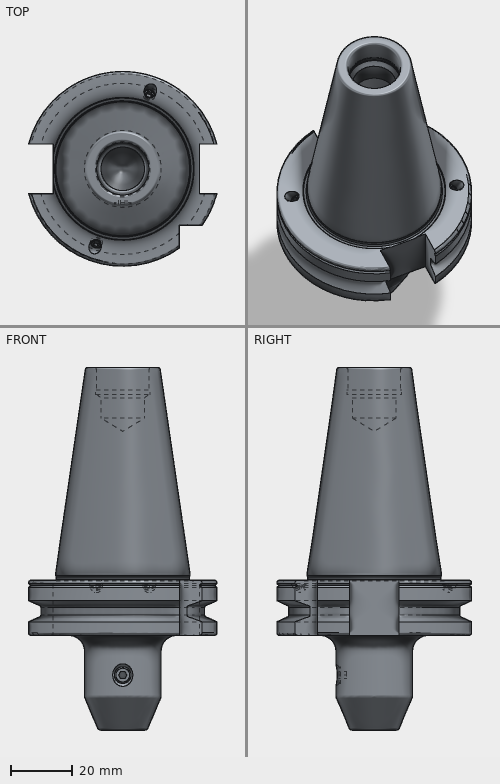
import cadquery as cq
import math

TOTAL_LENGTH = 118.4

TAPER_RATIO = 7 / 24
GAUGE_RADIUS = 22.1
GAUGE_Z = 50.0
TAPER_END_Z = 51.3
SHANK_TOP_FILLET = 1.0

COLLAR_END_Z = 50.4
UNDERCUT_TOP_Z = 50.1
UNDERCUT_RADIUS = 21.8
UNDERCUT_FOOT_CHAMFER = 0.5
RELIEF_MOUTH_RADIUS = 23.3
RELIEF_WALL_RUN = 0.2
RELIEF_DEPTH = 0.4

FLANGE_DIAMETER = 63.6
FLANGE_RADIUS = FLANGE_DIAMETER / 2
FLANGE_TOP_Z = 49.0
FLANGE_BOTTOM_Z = 30.9
FLANGE_FILLET = 1.0
RIM_GROOVE_TOP_DROP = 1.2
RIM_GROOVE_WIDTH = 1.2
RIM_GROOVE_DEPTH = 0.7

GRIP_Z = 38.8
GRIP_RADIUS = 28.0
GRIP_FLOOR_WIDTH = 3.3
GRIP_FLANK_ANGLE = 25.0
GRIP_CORNER_FILLET = 0.6

SLOT_WIDTH = 16.1
LEFT_SLOT_WALL = 22.7
RIGHT_SLOT_WALL = 25.1
NOTCH_WALL = 18.5

NOSE_RADIUS = 12.5
NOSE_ROOT_FILLET = 5.0
NOSE_CONE_Z = 10.9
NOSE_TIP_RADIUS = 7.9
NOSE_EDGE_FILLET = 1.8
NOSE_TIP_FILLET = 1.2

BORE_MOUTH_FILLET = 1.1
PILOT_RADIUS = 8.5
PILOT_DEPTH = 8.8
PILOT_GROOVE_RADIUS = 8.9
PILOT_GROOVE_WIDTH = 1.4
THREAD_RADIUS = 7.1
LEAD_IN_END_DEPTH = 10.0
THREAD_DEPTH = 16.6
DRILL_POINT_ANGLE = 118.0

PORT_RADIUS = 2.0
PORT_CENTER_RADIUS = 27.0
PORT_ANGLE = 70.5
PORT_TILT = 30.0
PORT_PLUG_DEPTH = 2.4
PORT_SOCKET_ACROSS_FLATS = 2.0
PORT_SOCKET_DEPTH = 1.8

SCREW_Z = 18.0
SCREW_RADIUS = 2.7
SCREW_MOUTH_RADIUS = 3.7
SCREW_RECESS = 1.1
CLAMP_SOCKET_ACROSS_FLATS = 2.4
CLAMP_SOCKET_DEPTH = 2.4

SCREW_BEVEL = 0.5


def taper_radius(z):
    return GAUGE_RADIUS - (z - GAUGE_Z) * TAPER_RATIO / 2


def revolve_profile(profile):
    return profile.close().revolve(360, (0, 0, 0), (0, 1, 0))


def hexagon_diameter(across_flats):
    return across_flats / math.cos(math.radians(30))


def make_shank():
    collar_radius = taper_radius(TAPER_END_Z)
    foot_radius = UNDERCUT_RADIUS + UNDERCUT_FOOT_CHAMFER
    foot_z = FLANGE_TOP_Z - RELIEF_DEPTH
    shank = revolve_profile(
        cq.Workplane("XZ")
        .moveTo(0, FLANGE_BOTTOM_Z)
        .lineTo(foot_radius, FLANGE_BOTTOM_Z)
        .lineTo(foot_radius, foot_z)
        .lineTo(UNDERCUT_RADIUS, foot_z + UNDERCUT_FOOT_CHAMFER)
        .lineTo(UNDERCUT_RADIUS, UNDERCUT_TOP_Z)
        .lineTo(collar_radius, COLLAR_END_Z)
        .lineTo(collar_radius, TAPER_END_Z)
        .lineTo(taper_radius(TOTAL_LENGTH), TOTAL_LENGTH)
        .lineTo(0, TOTAL_LENGTH)
    )
    return shank.faces(">Z").edges().fillet(SHANK_TOP_FILLET)


def make_flange():
    flank_height = (FLANGE_RADIUS - GRIP_RADIUS) * math.tan(math.radians(GRIP_FLANK_ANGLE))
    half_floor = GRIP_FLOOR_WIDTH / 2
    half_mouth = half_floor + flank_height
    rim_groove_top = FLANGE_TOP_Z - RIM_GROOVE_TOP_DROP
    relief_floor_z = FLANGE_TOP_Z - RELIEF_DEPTH
    flange = revolve_profile(
        cq.Workplane("XZ")
        .moveTo(0, FLANGE_BOTTOM_Z)
        .lineTo(FLANGE_RADIUS - FLANGE_FILLET, FLANGE_BOTTOM_Z)
        .radiusArc((FLANGE_RADIUS, FLANGE_BOTTOM_Z + FLANGE_FILLET), -FLANGE_FILLET)
        .lineTo(FLANGE_RADIUS, GRIP_Z - half_mouth)
        .lineTo(GRIP_RADIUS, GRIP_Z - half_floor)
        .lineTo(GRIP_RADIUS, GRIP_Z + half_floor)
        .lineTo(FLANGE_RADIUS, GRIP_Z + half_mouth)
        .lineTo(FLANGE_RADIUS, rim_groove_top - RIM_GROOVE_WIDTH)
        .lineTo(FLANGE_RADIUS - RIM_GROOVE_DEPTH, rim_groove_top - RIM_GROOVE_WIDTH / 2)
        .lineTo(FLANGE_RADIUS, rim_groove_top)
        .lineTo(FLANGE_RADIUS, FLANGE_TOP_Z - FLANGE_FILLET)
        .radiusArc((FLANGE_RADIUS - FLANGE_FILLET, FLANGE_TOP_Z), -FLANGE_FILLET)
        .lineTo(RELIEF_MOUTH_RADIUS, FLANGE_TOP_Z)
        .lineTo(RELIEF_MOUTH_RADIUS - RELIEF_WALL_RUN, relief_floor_z)
        .lineTo(0, relief_floor_z)
    )
    grip_corners = cq.selectors.BoxSelector(
        (-GRIP_RADIUS, -GRIP_RADIUS, GRIP_Z - GRIP_FLOOR_WIDTH),
        (GRIP_RADIUS, GRIP_RADIUS, GRIP_Z + GRIP_FLOOR_WIDTH),
        boundingbox=False,
    )
    return flange.edges("%CIRCLE").edges(grip_corners).fillet(GRIP_CORNER_FILLET)


def make_nose():
    nose = revolve_profile(
        cq.Workplane("XZ")
        .lineTo(NOSE_TIP_RADIUS, 0)
        .lineTo(NOSE_RADIUS, NOSE_CONE_Z)
        .lineTo(NOSE_RADIUS, FLANGE_BOTTOM_Z - NOSE_ROOT_FILLET)
        .radiusArc((NOSE_RADIUS + NOSE_ROOT_FILLET, FLANGE_BOTTOM_Z), NOSE_ROOT_FILLET)
        .lineTo(0, FLANGE_BOTTOM_Z)
    )
    nose = nose.faces("<Z").edges().fillet(NOSE_TIP_FILLET)
    cone_edge = cq.selectors.BoxSelector(
        (-NOSE_RADIUS, -NOSE_RADIUS, NOSE_CONE_Z - NOSE_EDGE_FILLET),
        (NOSE_RADIUS, NOSE_RADIUS, NOSE_CONE_Z + NOSE_EDGE_FILLET),
    )
    return nose.edges("%CIRCLE").edges(cone_edge).fillet(NOSE_EDGE_FILLET)


def make_flange_cutter(center_x, center_y, width_y):
    height = FLANGE_TOP_Z - FLANGE_BOTTOM_Z
    base = cq.Workplane("XY", origin=(center_x, center_y, FLANGE_BOTTOM_Z))
    return base.rect(FLANGE_RADIUS, width_y).extrude(height)


def cut_flange_openings(body):
    half_cutter = FLANGE_RADIUS / 2
    left_slot = make_flange_cutter(-LEFT_SLOT_WALL - half_cutter, 0, SLOT_WIDTH)
    right_slot = make_flange_cutter(RIGHT_SLOT_WALL + half_cutter, 0, SLOT_WIDTH)
    notch_center = NOTCH_WALL + half_cutter
    notch = make_flange_cutter(notch_center, -notch_center, FLANGE_RADIUS)
    return body.cut(left_slot).cut(right_slot).cut(notch)


def cut_pull_stud_bore(body):
    point_depth = THREAD_DEPTH + THREAD_RADIUS / math.tan(math.radians(DRILL_POINT_ANGLE / 2))
    bore = revolve_profile(
        cq.Workplane("XZ")
        .moveTo(0, TOTAL_LENGTH)
        .lineTo(PILOT_RADIUS + BORE_MOUTH_FILLET, TOTAL_LENGTH)
        .radiusArc((PILOT_RADIUS, TOTAL_LENGTH - BORE_MOUTH_FILLET), -BORE_MOUTH_FILLET)
        .lineTo(PILOT_RADIUS, TOTAL_LENGTH - PILOT_DEPTH + PILOT_GROOVE_WIDTH)
        .lineTo(PILOT_GROOVE_RADIUS, TOTAL_LENGTH - PILOT_DEPTH + PILOT_GROOVE_WIDTH)
        .lineTo(PILOT_GROOVE_RADIUS, TOTAL_LENGTH - PILOT_DEPTH)
        .lineTo(PILOT_RADIUS, TOTAL_LENGTH - PILOT_DEPTH)
        .lineTo(THREAD_RADIUS, TOTAL_LENGTH - LEAD_IN_END_DEPTH)
        .lineTo(THREAD_RADIUS, TOTAL_LENGTH - THREAD_DEPTH)
        .lineTo(0, TOTAL_LENGTH - point_depth)
    )
    return body.cut(bore)


def cut_screw_head(body, face, radius, across_flats, socket_depth):
    """Hexagon socket and bevelled outer edge of a screw whose end lies on the given plane."""
    socket = cq.Workplane(face).polygon(6, hexagon_diameter(across_flats)).extrude(-socket_depth)
    ring = cq.Workplane(face).circle(radius).extrude(-SCREW_BEVEL)
    cone = cq.Workplane(face).workplane(offset=-SCREW_BEVEL).circle(radius)
    cone = cone.workplane(offset=SCREW_BEVEL).circle(radius - SCREW_BEVEL).loft()
    return body.cut(ring.cut(cone)).cut(socket)


def cut_coolant_port(body, angle):
    """Port leaning towards the axis as it goes down, closed by a recessed socket screw."""
    radial = cq.Vector(math.cos(math.radians(angle)), math.sin(math.radians(angle)), 0)
    tilt = math.radians(PORT_TILT)
    outward = radial * math.sin(tilt) + cq.Vector(0, 0, math.cos(tilt))
    mouth = radial * PORT_CENTER_RADIUS + cq.Vector(0, 0, FLANGE_TOP_Z)
    tangent = cq.Vector(0, 0, 1).cross(radial)
    face = cq.Plane(mouth - outward * PORT_PLUG_DEPTH, tangent, outward)
    port = cq.Workplane(face).circle(PORT_RADIUS).extrude(2 * PORT_PLUG_DEPTH)
    return cut_screw_head(body.cut(port), face, PORT_RADIUS, PORT_SOCKET_ACROSS_FLATS, PORT_SOCKET_DEPTH)


def cut_clamping_screw(body):
    face = cq.Plane((0, SCREW_RECESS - NOSE_RADIUS, SCREW_Z), (1, 0, 0), (0, -1, 0))
    mouth = cq.Workplane(face).circle(SCREW_RADIUS)
    mouth = mouth.workplane(offset=SCREW_RECESS).circle(SCREW_MOUTH_RADIUS).loft()
    return cut_screw_head(body.cut(mouth), face, SCREW_RADIUS, CLAMP_SOCKET_ACROSS_FLATS, CLAMP_SOCKET_DEPTH)


body = make_flange().union(make_shank()).union(make_nose())
body = cut_flange_openings(body)
body = cut_pull_stud_bore(body)
for port_angle in (PORT_ANGLE, PORT_ANGLE + 180):
    body = cut_coolant_port(body, port_angle)
result = cut_clamping_screw(body)